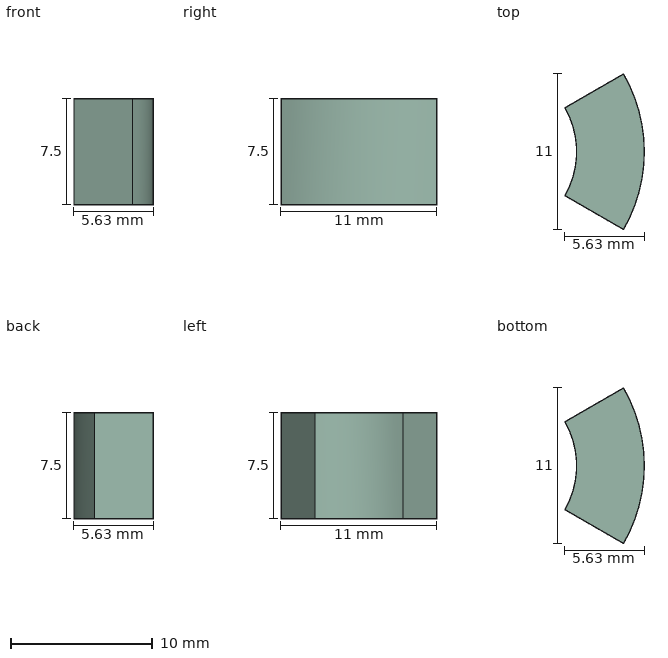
import cadquery as cq
import math

outer_radius = 11.0
inner_radius = 6.2
height = 7.5
half_angle = math.radians(30)


def ring_point(radius, angle):
    """Point on a circle about the ring centre, angle measured from +X."""
    return (radius * math.cos(angle), radius * math.sin(angle))


result = (
    cq.Workplane("XY")
    .moveTo(*ring_point(inner_radius, -half_angle))
    .lineTo(*ring_point(outer_radius, -half_angle))
    .threePointArc((outer_radius, 0), ring_point(outer_radius, half_angle))
    .lineTo(*ring_point(inner_radius, half_angle))
    .threePointArc((inner_radius, 0), ring_point(inner_radius, -half_angle))
    .close()
    .extrude(height)
)